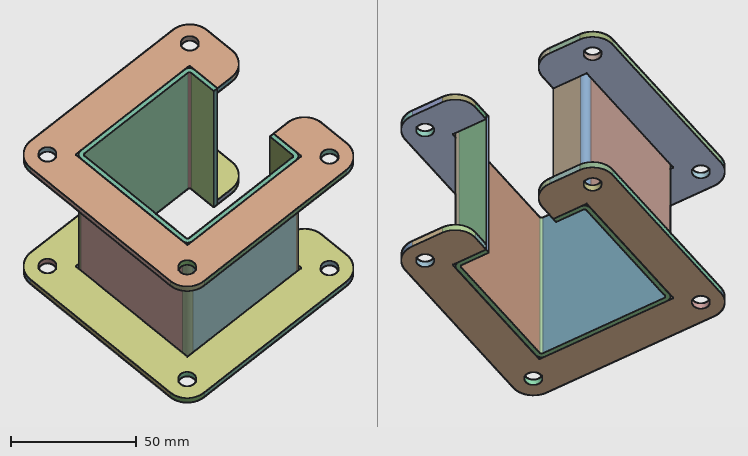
import cadquery as cq

flange_side = 98.4
flange_thickness = 3.1
corner_radius = 9.5
bolt_hole_diameter = 7.2
bolt_spacing = flange_side - 2 * corner_radius

total_height = 76.2
channel_side = 63.5
wall = 2.1
outer_bend_radius = 3.0
inner_bend_radius = outer_bend_radius - wall

slot_width = 31.8


def slot_cutter():
    """Block that opens the +Y side from the center outward, over the full height."""
    return cq.Workplane("XY").box(
        slot_width, flange_side, total_height, centered=(True, False, False)
    )


def make_flange(bottom_z):
    """Square plate with a square window for the channel, a slot and four bolt holes."""
    plate = cq.Workplane("XY").box(
        flange_side, flange_side, flange_thickness, centered=(True, True, False)
    )
    window = cq.Workplane("XY").box(
        channel_side, channel_side, flange_thickness, centered=(True, True, False)
    )
    bolt_holes = (
        cq.Workplane("XY")
        .rect(bolt_spacing, bolt_spacing, forConstruction=True)
        .vertices()
        .circle(bolt_hole_diameter / 2)
        .extrude(flange_thickness)
    )
    slotted_plate = plate.cut(window).cut(slot_cutter())

    half_side = flange_side / 2
    corner_edges = slotted_plate.edges("|Z").filter(
        lambda edge: abs(edge.Center().y) > half_side - corner_radius
    )
    rounded_plate = corner_edges.fillet(corner_radius)
    return rounded_plate.cut(bolt_holes).translate((0, 0, bottom_z))


def square_prism(side, bend_radius):
    """Full-height square prism with rounded vertical edges."""
    prism = cq.Workplane("XY").box(side, side, total_height, centered=(True, True, False))
    return prism.edges("|Z").fillet(bend_radius)


def make_channel():
    """Square sheet-metal channel with rounded bends and a full-height opening."""
    outer = square_prism(channel_side, outer_bend_radius)
    inner = square_prism(channel_side - 2 * wall, inner_bend_radius)
    return outer.cut(inner).cut(slot_cutter())


channel = make_channel()
flanges = [make_flange(bottom_z) for bottom_z in (0, total_height - flange_thickness)]

result = cq.Compound.makeCompound([channel.val(), *[flange.val() for flange in flanges]])